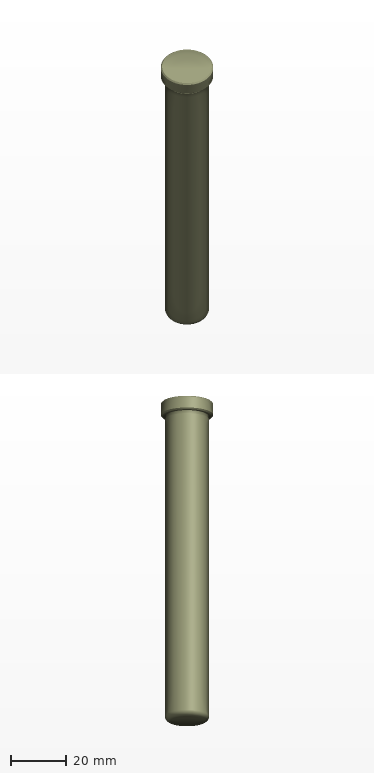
import cadquery as cq

total_length = 120.0
head_diameter = 19.0
head_height = 5.0
head_chamfer = 0.5

shank_diameter = 16.0
tip_round = 1.8

groove_diameter = 15.6
groove_height = 1.2

head_base = total_length - head_height
groove_base = head_base - groove_height


def cylinder(diameter, bottom, top):
    """Round section on the pin axis between two heights."""
    return cq.Workplane("XY").workplane(offset=bottom).circle(diameter / 2).extrude(top - bottom)


shank = cylinder(shank_diameter, 0, groove_base).faces("<Z").edges().fillet(tip_round)
groove = cylinder(groove_diameter, groove_base, head_base)
head = cylinder(head_diameter, head_base, total_length).faces("<Z or >Z").edges().chamfer(head_chamfer)

result = shank.union(groove).union(head)